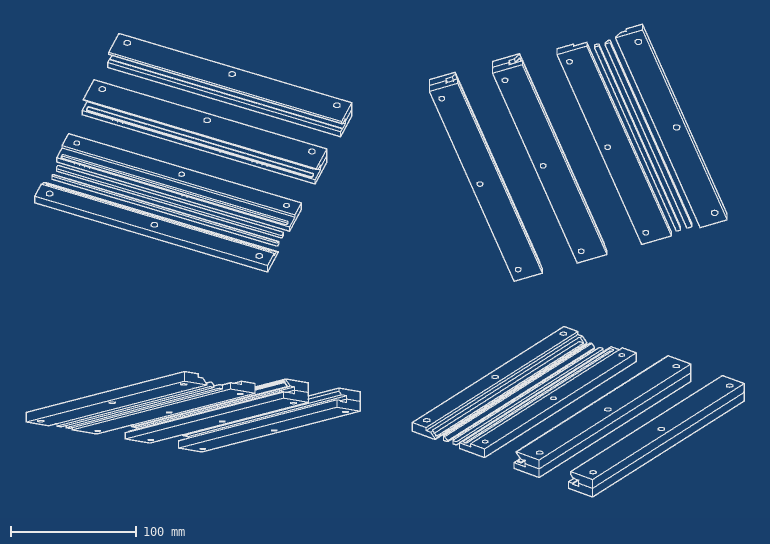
import cadquery as cq

bar_length = 200.0
jaw_thickness = 8.0
stack_height = 2 * jaw_thickness
block_depth = 14.0
mouth_thickness = 5.25

hole_offset_x = 90.0
hole_offset_y = 7.05
clearance_diameter = 5.2
thread_diameter = 4.5

plain_lower_depth = 24.1
plain_upper_depth = 21.95
plain_lip_start = 20.1
plain_nose_chamfer = 2.6

lower_depth = 25.3
upper_depth = 23.03
nose_edge_height = 0.75

insert_length = 194.0
insert_corner_radius = 1.0
insert_width = 4.0
insert_height = 3.0
insert_protrusion = 0.8
lower_pocket_margin = 1.1
upper_pocket_floor = 1.4
upper_pocket_back = 5.4
blade_depth = 4.55

plain_pair_y = 0.0
insert_pair_y = -53.45
loose_lower_y = -108.05
loose_insert_back_y = -138.5
loose_blade_toe_y = -147.4
loose_upper_back_y = -180.53


def extrude_along_x(profile, length):
    """Extrude a closed (y, z) outline along X, centred on X = 0."""
    return cq.Workplane("YZ").polyline(profile).close().extrude(length / 2, both=True)


def drill(jaw, diameter):
    """Three through holes along the clamping block."""
    places = [(x, -hole_offset_y) for x in (-hole_offset_x, 0, hole_offset_x)]
    tools = cq.Workplane("XY").pushPoints(places).circle(diameter / 2).extrude(jaw_thickness)
    return jaw.cut(tools)


def end_rounded_bar(depth, height):
    """Bar of the insert length with its four upright corners rounded."""
    bar = cq.Workplane("XY").box(insert_length, depth, height, centered=(True, False, False))
    return bar.translate((0, -depth, 0)).edges("|Z").fillet(insert_corner_radius)



def plain_lower_jaw():
    lip_top = mouth_thickness + insert_protrusion
    profile = [
        (0, 0),
        (0, jaw_thickness),
        (-block_depth, jaw_thickness),
        (-block_depth, mouth_thickness),
        (-plain_lip_start, mouth_thickness),
        (-plain_lip_start, lip_top),
        (-plain_lower_depth, lip_top),
        (-plain_lower_depth, 0),
    ]
    return drill(extrude_along_x(profile, bar_length), thread_diameter)


def plain_upper_jaw():
    profile = [
        (0, 0),
        (0, jaw_thickness),
        (-block_depth, jaw_thickness),
        (-block_depth, mouth_thickness),
        (plain_nose_chamfer - plain_upper_depth, mouth_thickness),
        (-plain_upper_depth, mouth_thickness - plain_nose_chamfer),
        (-plain_upper_depth, 0),
    ]
    return drill(extrude_along_x(profile, bar_length), clearance_diameter)


def flat_insert():
    """Flat bar; its pocket in the lower jaw has the same outline."""
    return end_rounded_bar(insert_width, insert_height)


lower_pocket_back_y = lower_pocket_margin + insert_width - lower_depth
lower_pocket_floor = mouth_thickness + insert_protrusion - insert_height


def lower_jaw():
    profile = [
        (0, 0),
        (0, jaw_thickness),
        (-block_depth, jaw_thickness),
        (-block_depth, mouth_thickness),
        (-lower_depth, mouth_thickness),
        (-lower_depth, 0),
    ]
    jaw = drill(extrude_along_x(profile, bar_length), thread_diameter)
    return jaw.cut(flat_insert().translate((0, lower_pocket_back_y, lower_pocket_floor)))


blade_height = mouth_thickness - upper_pocket_floor
nose_height_at_toe = nose_edge_height + upper_pocket_back - blade_depth
blade_toe_height = nose_height_at_toe + insert_protrusion - upper_pocket_floor
upper_pocket_back_y = upper_pocket_back - upper_depth


def blade_insert():
    """Bar with a 45 degree front above a low upright toe."""
    profile = [
        (0, 0),
        (0, blade_height),
        (blade_height - blade_toe_height - blade_depth, blade_height),
        (-blade_depth, blade_toe_height),
        (-blade_depth, 0),
    ]
    blank = end_rounded_bar(blade_depth, blade_height)
    return extrude_along_x(profile, insert_length).intersect(blank)


def upper_jaw():
    """Jaw with a 45 degree nose, as it lies with its mouth side up."""
    profile = [
        (0, 0),
        (0, jaw_thickness),
        (-block_depth, jaw_thickness),
        (-block_depth, mouth_thickness),
        (mouth_thickness - nose_edge_height - upper_depth, mouth_thickness),
        (-upper_depth, nose_edge_height),
        (-upper_depth, 0),
    ]
    jaw = drill(extrude_along_x(profile, bar_length), clearance_diameter)
    pocket = end_rounded_bar(blade_depth, blade_height)
    return jaw.cut(pocket.translate((0, upper_pocket_back_y, upper_pocket_floor)))


def turned_over(body):
    """Turn a body mouth side down with its outer face at the top of the stack."""
    return body.mirror("XY").translate((0, 0, stack_height))


def turned_around(body):
    """Turn a body end for end so that it reaches toward +Y."""
    return body.rotate((0, 0, 0), (0, 0, 1), 180)


plain_lower = plain_lower_jaw().translate((0, plain_pair_y, 0))
plain_upper = turned_over(plain_upper_jaw()).translate((0, plain_pair_y, 0))

paired_lower = lower_jaw().translate((0, insert_pair_y, 0))
paired_insert = flat_insert().translate(
    (0, insert_pair_y + lower_pocket_back_y, lower_pocket_floor)
)
paired_upper = turned_over(upper_jaw()).translate((0, insert_pair_y, 0))
blade_seated = blade_insert().translate((0, upper_pocket_back_y, upper_pocket_floor))
paired_blade = turned_over(blade_seated).translate((0, insert_pair_y, 0))

loose_lower = lower_jaw().translate((0, loose_lower_y, 0))
loose_insert = flat_insert().translate((0, loose_insert_back_y, 0))
loose_blade = turned_around(blade_insert()).translate((0, loose_blade_toe_y - blade_depth, 0))
loose_upper = turned_around(upper_jaw()).translate((0, loose_upper_back_y, 0))

result = cq.Compound.makeCompound([
    plain_lower.val(),
    plain_upper.val(),
    paired_lower.val(),
    paired_insert.val(),
    paired_upper.val(),
    paired_blade.val(),
    loose_lower.val(),
    loose_insert.val(),
    loose_blade.val(),
    loose_upper.val(),
])